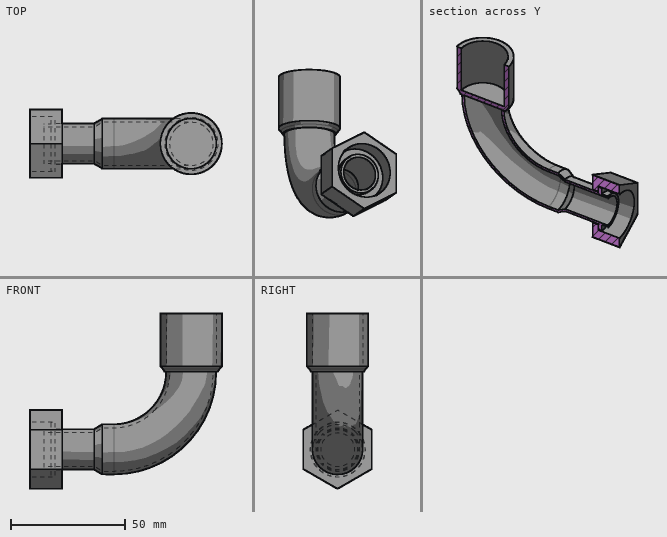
import cadquery as cq
import math

nut_across_flats = 30.0
nut_length = 14.05
nut_bore_dia = 24.15
nut_back_hole_dia = 18.0
nut_back_wall = 3.1

spigot_dia = 17.4
spigot_start = 6.0
flange_dia = 23.8
flange_face = 9.1
tail_dia = 17.8
tail_bore_dia = 14.8
shoulder_start = 28.1
shoulder_end = 31.7

bend_dia = 22.0
bend_bore_dia = 19.0
bend_start = 36.7

socket_dia = 27.0
socket_bore_dia = 22.0
socket_upper_chamfer_dia = 25.0
socket_base_dia = 23.2
socket_upper_chamfer = 1.2
socket_lower_chamfer = 1.35
socket_floor = 2.5

total_length = 84.1
total_height = 77.0
nut_across_corners = nut_across_flats / math.cos(math.pi / 6)
nut_bore_depth = nut_length - nut_back_wall
socket_axis_x = total_length - socket_dia / 2
bend_radius = socket_axis_x - bend_start
socket_bottom = bend_radius
socket_top = total_height - nut_across_corners / 2


def disc(diameter, start, end):
    """Cylinder along the X axis."""
    return cq.Workplane("YZ", origin=(start, 0, 0)).circle(diameter / 2).extrude(end - start)


def make_nut():
    """Hexagon with two corners on the Z axis, bored for the flange and the tail."""
    hexagon = (
        cq.Workplane("YZ")
        .polygon(6, nut_across_corners)
        .extrude(nut_length)
        .rotate((0, 0, 0), (1, 0, 0), 90)
    )
    flange_bore = disc(nut_bore_dia, 0, nut_bore_depth)
    back_hole = disc(nut_back_hole_dia, nut_bore_depth, nut_length)
    return hexagon.cut(flange_bore).cut(back_hole)


def bend_sweep(diameter):
    """Quarter torus that turns from +X to +Z."""
    return (
        cq.Workplane("YZ", origin=(bend_start, 0, 0))
        .circle(diameter / 2)
        .revolve(90, (0.8, bend_radius, 0), (-0.8, bend_radius, 0))
    )


def straight_run(profile):
    """Revolve (x, radius) points about the X axis."""
    return cq.Workplane("XZ").polyline(profile).close().revolve(360, (0, 0, 0), (1, 0, 0))


def make_pipe():
    """Spigot, flange, tail, shoulder and bend, hollow throughout."""
    outside = straight_run([
        (spigot_start, 0),
        (spigot_start, spigot_dia / 2),
        (flange_face, spigot_dia / 2),
        (flange_face, flange_dia / 2),
        (nut_bore_depth, flange_dia / 2),
        (nut_bore_depth, tail_dia / 2),
        (shoulder_start, tail_dia / 2),
        (shoulder_end, bend_dia / 2),
        (bend_start, bend_dia / 2),
        (bend_start, 0),
    ])
    bore = straight_run([
        (spigot_start, 0),
        (spigot_start, tail_bore_dia / 2),
        (shoulder_start, tail_bore_dia / 2),
        (shoulder_end, bend_bore_dia / 2),
        (bend_start, bend_bore_dia / 2),
        (bend_start, 0),
    ])
    outside = outside.union(bend_sweep(bend_dia))
    return outside.cut(bore).cut(bend_sweep(bend_bore_dia))


def make_socket():
    """Cup with a closed floor and a two-step chamfer around its base."""
    chamfer_middle = socket_bottom + socket_lower_chamfer
    chamfer_top = chamfer_middle + socket_upper_chamfer
    floor_top = socket_bottom + socket_floor
    profile = [
        (0, socket_bottom),
        (socket_base_dia / 2, socket_bottom),
        (socket_upper_chamfer_dia / 2, chamfer_middle),
        (socket_dia / 2, chamfer_top),
        (socket_dia / 2, socket_top),
        (socket_bore_dia / 2, socket_top),
        (socket_bore_dia / 2, floor_top),
        (0, floor_top),
    ]
    cup = cq.Workplane("XZ").polyline(profile).close().revolve(360, (0, 0, 0), (0, 1, 0))
    return cup.translate((socket_axis_x, 0, 0))


nut = make_nut()
pipe = make_pipe()
socket = make_socket()

result = cq.Compound.makeCompound([nut.val(), pipe.val(), socket.val()])